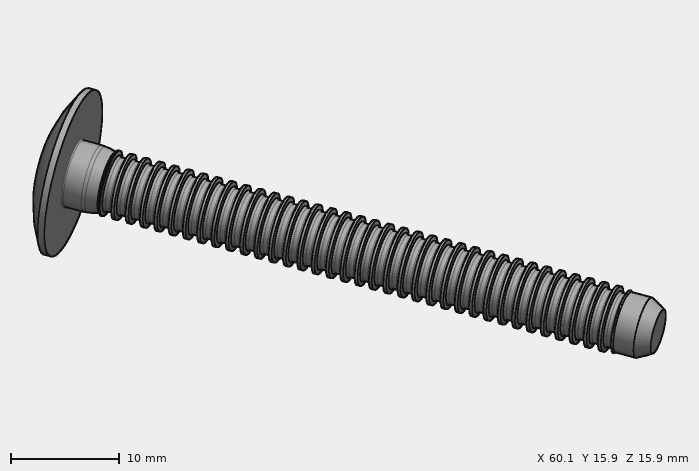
import cadquery as cq
import math

total_length = 60.1
head_radius = 7.95
head_height = 3.05
rim_thickness = 0.65
head_fillet = 0.1

shoulder_radius = 3.2
shoulder_end = 4.9
land_end = 5.3
land_drop = 0.03
land_end_radius = shoulder_radius - land_drop
taper_end = 6.45
taper_end_radius = 2.9
taper_bulge = 0.05

ring_count = 36
first_ring = 6.6
last_ring = 55.5
ring_pitch = (last_ring - first_ring) / (ring_count - 1)
crest_radius = 3.1
foot_radius = 2.7
root_radius = 2.6
half_crest = 0.15
half_foot = 0.25
half_base = 0.5
hollow_sag = 0.025
lip_start = 56.6
lip_radius = 3.0

pin_start = 56.75
pin_end = 58.75
pin_radius = 2.9
tip_radius = 2.1
tip_bulge = 0.03


def add_curve(outline, start, end, bulge):
    """Arc between two (x, radius) points, raised by bulge at mid length."""
    middle = ((start[0] + end[0]) / 2, (start[1] + end[1]) / 2 + bulge)
    return outline.threePointArc(middle, end)


def add_head(outline):
    """Spherically domed head with a thin rim, flat underside and a small fillet to the shank."""
    dome_height = head_height - rim_thickness
    sphere_radius = (head_radius**2 + dome_height**2) / (2 * dome_height)
    mid_depth = dome_height / 2
    mid_radius = math.sqrt(sphere_radius**2 - (sphere_radius - mid_depth) ** 2)
    fillet_top = shoulder_radius + head_fillet
    return (
        outline.threePointArc((mid_depth, mid_radius), (dome_height, head_radius))
        .lineTo(head_height, head_radius)
        .lineTo(head_height, fillet_top)
        .radiusArc((head_height + head_fillet, shoulder_radius), -head_fillet)
    )


def add_ring_rise(outline, center):
    """Left side of a ring: concave root curve, then the steep flank up to the crest."""
    base = (center - half_base, root_radius)
    foot = (center - half_foot, foot_radius)
    outline = add_curve(outline.lineTo(*base), base, foot, -hollow_sag)
    return outline.lineTo(center - half_crest, crest_radius)


def add_ring_fall(outline, center):
    """Right side of a ring: flat crest, steep flank, then the concave root curve."""
    foot = (center + half_foot, foot_radius)
    base = (center + half_base, root_radius)
    outline = outline.lineTo(center + half_crest, crest_radius).lineTo(*foot)
    return add_curve(outline, foot, base, -hollow_sag)


outline = add_head(cq.Workplane("XZ"))

land_corner = (land_end, land_end_radius)
taper_corner = (taper_end, taper_end_radius)
outline = outline.lineTo(shoulder_end, shoulder_radius).lineTo(*land_corner)
outline = add_curve(outline, land_corner, taper_corner, taper_bulge)
outline = outline.lineTo(first_ring, crest_radius)
outline = add_ring_fall(outline, first_ring)

for i in range(1, ring_count):
    ring_center = first_ring + i * ring_pitch
    outline = add_ring_rise(outline, ring_center)
    outline = add_ring_fall(outline, ring_center)

lip_foot = (lip_start, foot_radius)
lip_base = (lip_start - half_base + half_foot, root_radius)
outline = add_curve(outline.lineTo(*lip_base), lip_base, lip_foot, -hollow_sag)
outline = outline.lineTo(lip_start, lip_radius).lineTo(pin_start, pin_radius)

pin_corner = (pin_end, pin_radius)
outline = outline.lineTo(*pin_corner)
outline = add_curve(outline, pin_corner, (total_length, tip_radius), tip_bulge)
outline = outline.lineTo(total_length, 0).close()

result = outline.revolve(360, (0, 0, 0), (1, 0, 0))